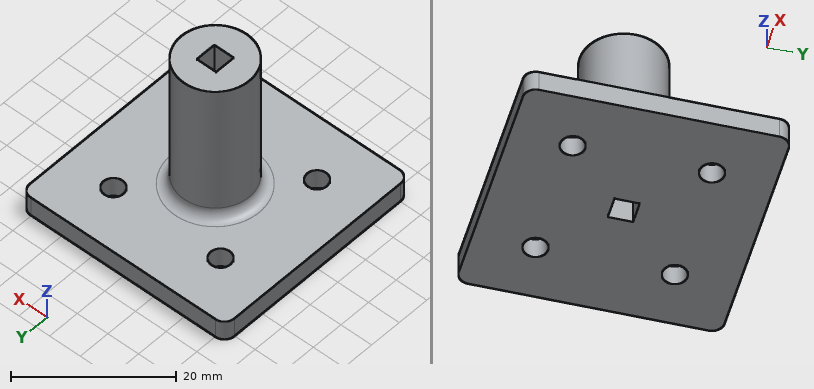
import cadquery as cq

plate_side = 33.35
plate_thickness = 3.17
corner_radius = 1.6

total_height = 25.4
post_diameter = 11.1
root_fillet_radius = 1.6

square_hole_side = 3.17
bolt_hole_diameter = 3.17
bolt_spacing = 17.47


def make_plate():
    """Square plate with rounded vertical corners."""
    plate = cq.Workplane("XY").box(plate_side, plate_side, plate_thickness, centered=(True, True, False))
    return plate.edges("|Z").fillet(corner_radius)


def make_post():
    """Cylinder from the plate's underside to the full height."""
    return cq.Workplane("XY").circle(post_diameter / 2).extrude(total_height)


def make_root_fillet():
    """Concave ring blending the post into the plate's top face."""
    post_radius = post_diameter / 2
    foot_radius = post_radius + root_fillet_radius
    fillet_top = plate_thickness + root_fillet_radius
    arc_offset = root_fillet_radius * (1 - 0.5 ** 0.5)
    return (
        cq.Workplane("XZ")
        .moveTo(0, 0)
        .lineTo(foot_radius, 0)
        .lineTo(foot_radius, plate_thickness)
        .threePointArc(
            (post_radius + arc_offset, plate_thickness + arc_offset),
            (post_radius, fillet_top),
        )
        .lineTo(0, fillet_top)
        .close()
        .revolve(360, (0, 0, 0), (0, 1, 0))
    )


def make_openings():
    """Square bore along the post and four bolt holes through the plate."""
    bore = cq.Workplane("XY").rect(square_hole_side, square_hole_side).extrude(total_height)
    bolt_holes = (
        cq.Workplane("XY")
        .rect(bolt_spacing, bolt_spacing, forConstruction=True)
        .vertices()
        .circle(bolt_hole_diameter / 2)
        .extrude(plate_thickness)
    )
    return bore.add(bolt_holes).combine()


result = make_plate().union(make_post()).union(make_root_fillet()).cut(make_openings())